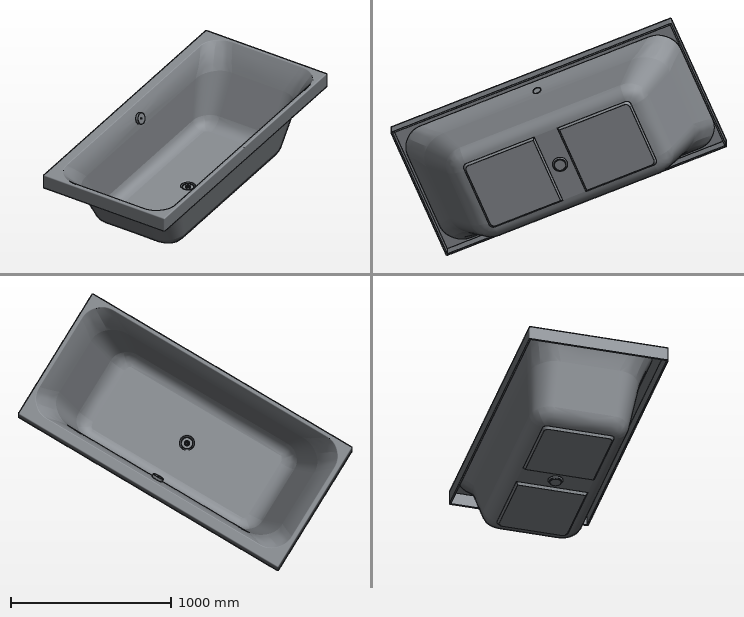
import cadquery as cq
import math


RIM_WIDTH = 900.0
RIM_LENGTH = 1900.0
RIM_HEIGHT = 95.0
RIM_EDGE_RADIUS = 8.0
LIP_RADIUS = 5.0
SHEET = 10.0

OVERALL_HEIGHT = 480.0
BOARD_THICKNESS = 17.0
BASIN_X = 20.0
UNDERSIDE_Z = BOARD_THICKNESS - OVERALL_HEIGHT
FLOOR_Z = UNDERSIDE_Z + SHEET
FLARE_Z = -146.0
KNEE_Z = -395.0
LOFT_STEPS = 4

STRAIGHT_X = 190.0
STRAIGHT_X_RIM = 255.0
STRAIGHT_Y = 543.0
STRAIGHT_Y_FLARE = 637.0
STRAIGHT_Y_RIM = 779.0

SUMP_TOP_RADIUS = 45.0
SUMP_BOTTOM_RADIUS = 38.0
SUMP_OUTER_TOP = 48.0
SUMP_OUTER_BOTTOM = 36.0
SUMP_LIP_RADIUS = 11.0
SUMP_FLOOR_Z = SHEET - OVERALL_HEIGHT

WASTE_DIAMETER = 72.0
WASTE_HEIGHT = 5.0
PLUG_DIAMETER = 32.0
PLUG_CAP_DIAMETER = 25.0
PLUG_CAP_HEIGHT = 2.0
PLUG_BORE_DIAMETER = 13.0
PLUG_BORE_DEPTH = 4.0

OVERFLOW_Z = -82.0
KNOB_DIAMETER = 72.0
KNOB_HEIGHT = 19.0
KNOB_BORE_DIAMETER = 9.1
KNOB_BORE_DEPTH = 5.0
SHANK_DIAMETER = 51.0
SHANK_LENGTH = 13.0

BOARD_HALF_WIDTH = 232.0
BOARD_HALF_LENGTH = 566.0
BOARD_GAP_HALF = 78.0
BOARD_TAPER = 11.0
BOARD_CORNER_RADIUS = 29.0


class Wall:
    """Profile of one pair of opposite walls: floor curve, straight slope and outward flare."""

    def __init__(self, floor_half, floor_radius, lean, rim_half):
        lean = math.radians(lean)
        self.cos = math.cos(lean)
        self.sin = math.sin(lean)
        self.floor_half = floor_half
        self.floor_radius = floor_radius
        self.curve_z = FLOOR_Z + floor_radius
        self.knee_half = floor_half + floor_radius * self.cos
        self.knee_z = self.curve_z - floor_radius * self.sin

        flare_half = self.knee_half + (FLARE_Z - self.knee_z) * math.tan(lean)
        rise = rim_half - flare_half
        turn = math.atan2(rise, -FLARE_Z) - lean
        self.flare_radius = math.hypot(rise, FLARE_Z) / (2 * math.sin(turn))
        self.flare_centre = flare_half + self.flare_radius * self.cos
        self.flare_centre_z = FLARE_Z - self.flare_radius * self.sin

    def half_size(self, z, offset):
        """Half distance between the walls at height z, moved outwards by offset."""
        if z > FLARE_Z - offset * self.sin:
            radius = self.flare_radius - offset
            return self.flare_centre - math.sqrt(radius**2 - (z - self.flare_centre_z) ** 2)
        if z > self.knee_z - offset * self.sin:
            slope = self.sin / self.cos
            return self.knee_half + (z - self.knee_z) * slope + offset / self.cos
        radius = self.floor_radius + offset
        return self.floor_half + math.sqrt(max(0.0, radius**2 - (z - self.curve_z) ** 2))

    def flare_slope(self, z):
        """Angle in degrees from the vertical of the flare at height z."""
        return math.degrees(math.asin((z - self.flare_centre_z) / self.flare_radius))


SIDE_WALL = Wall(floor_half=232.0, floor_radius=80.0, lean=8.5, rim_half=403.0)
END_WALL = Wall(floor_half=568.0, floor_radius=118.0, lean=30.0, rim_half=922.0)


def straight_halves(z):
    """Half lengths of the straight stretches of the basin outline at height z."""
    if z > FLARE_Z:
        part = 1 - z / FLARE_Z
        return (
            STRAIGHT_X + part * (STRAIGHT_X_RIM - STRAIGHT_X),
            STRAIGHT_Y_FLARE + part * (STRAIGHT_Y_RIM - STRAIGHT_Y_FLARE),
        )
    part = max(0.0, (z - KNEE_Z) / (FLARE_Z - KNEE_Z))
    return STRAIGHT_X, STRAIGHT_Y + part * (STRAIGHT_Y_FLARE - STRAIGHT_Y)


def basin_outline(z, offset):
    """Closed outline of the basin at height z: four straight sides and four elliptic corners."""
    half_x = SIDE_WALL.half_size(z, offset)
    half_y = END_WALL.half_size(z, offset)
    straight_x, straight_y = straight_halves(z)
    middle_x = straight_x + (half_x - straight_x) * math.sqrt(0.5)
    middle_y = straight_y + (half_y - straight_y) * math.sqrt(0.5)

    def point(x, y):
        return cq.Vector(BASIN_X + x, y, z)

    edges = []
    for sx, sy in ((1, 1), (-1, 1), (-1, -1), (1, -1)):
        on_side = point(sx * half_x, sy * straight_y)
        on_corner = point(sx * middle_x, sy * middle_y)
        on_end = point(sx * straight_x, sy * half_y)
        tangents = [cq.Vector(0, sy, 0), cq.Vector(-sx, 0, 0)]
        edges.append(cq.Edge.makeSpline([on_side, on_corner, on_end], tangents))
        if sx == sy:
            edges.append(cq.Edge.makeLine(on_end, point(-sx * straight_x, sy * half_y)))
        else:
            edges.append(cq.Edge.makeLine(on_side, point(sx * half_x, -sy * straight_y)))
    return cq.Wire.assembleEdges(edges)


def basin(offset):
    """Solid bounded by the basin surface moved outwards by offset, up to the top of the rim."""
    floor_z = FLOOR_Z - offset
    parts = [i / LOFT_STEPS for i in range(LOFT_STEPS + 1)]
    flare_levels = [FLARE_Z * (1 - part) for part in parts]
    bowl_levels = [floor_z + (KNEE_Z - floor_z) * (1 - math.cos(math.pi / 2 * part)) for part in parts]

    def loft(levels, ruled):
        return cq.Solid.makeLoft([basin_outline(z, offset) for z in levels], ruled)

    bowl = cq.Workplane(loft(bowl_levels, False))
    walls = cq.Workplane(loft([KNEE_Z, FLARE_Z], True))
    flare = cq.Workplane(loft(flare_levels, False))
    return bowl.union(walls, clean=False).union(flare, clean=False)


def rim():
    """Flat rim plate with a skirt around it, open below."""
    block = (
        cq.Workplane("XY")
        .box(RIM_WIDTH, RIM_LENGTH, RIM_HEIGHT, centered=(True, True, False))
        .translate((0, 0, -RIM_HEIGHT))
        .edges("|Z or >Z")
        .fillet(RIM_EDGE_RADIUS)
    )
    hollow = (
        cq.Workplane("XY", origin=(0, 0, -RIM_HEIGHT))
        .rect(RIM_WIDTH - 2 * SHEET, RIM_LENGTH - 2 * SHEET)
        .extrude(RIM_HEIGHT - SHEET)
    )
    return block.cut(hollow)


def cone(top_radius, bottom_radius, top_z, bottom_z):
    """Solid cone on the axis of the waste, with flat ends."""
    base = cq.Vector(BASIN_X, 0, bottom_z)
    return cq.Workplane(cq.Solid.makeCone(bottom_radius, top_radius, top_z - bottom_z, base))


def cylinder(diameter, bottom_z, height):
    """Solid cylinder on the axis of the waste."""
    return cq.Workplane("XY", origin=(BASIN_X, 0, bottom_z)).circle(diameter / 2).extrude(height)


def make_tub(overflow):
    """Rim, basin shell and sump in one piece, with a hole that fits the overflow."""
    shell = rim().union(basin(SHEET), clean=False)
    shell = shell.union(cone(SUMP_OUTER_TOP, SUMP_OUTER_BOTTOM, UNDERSIDE_Z, -OVERALL_HEIGHT), clean=False)
    tub = shell.cut(basin(0), clean=False)
    tub = tub.cut(cone(SUMP_TOP_RADIUS, SUMP_BOTTOM_RADIUS, FLOOR_Z, SUMP_FLOOR_Z), clean=False)
    sump_edge = (BASIN_X, SUMP_TOP_RADIUS, FLOOR_Z)
    tub = tub.edges(cq.selectors.NearestToPointSelector(sump_edge)).fillet(SUMP_LIP_RADIUS)
    lip = tub.faces(">Z").val().innerWires()[0]
    tub = cq.Workplane(tub.findSolid().fillet(LIP_RADIUS, lip.Edges()))
    return tub.cut(overflow, clean=False)


def make_waste():
    """Ring on the floor of the sump."""
    ring = cylinder(WASTE_DIAMETER, SUMP_FLOOR_Z, WASTE_HEIGHT)
    return ring.cut(cylinder(PLUG_DIAMETER, SUMP_FLOOR_Z, WASTE_HEIGHT))


def make_plug():
    """Stepped plug in the middle of the waste, with a blind hole in its top."""
    cap_z = SUMP_FLOOR_Z + WASTE_HEIGHT
    top_z = cap_z + PLUG_CAP_HEIGHT
    body = cylinder(PLUG_DIAMETER, SUMP_FLOOR_Z, WASTE_HEIGHT)
    cap = cylinder(PLUG_CAP_DIAMETER, cap_z, PLUG_CAP_HEIGHT)
    return body.union(cap).cut(cylinder(PLUG_BORE_DIAMETER, top_z - PLUG_BORE_DEPTH, PLUG_BORE_DEPTH))


def make_overflow():
    """Round knob square to the flare of the -X wall, with a shank that passes through the wall."""
    slope = math.radians(SIDE_WALL.flare_slope(OVERFLOW_Z))
    wall_x = BASIN_X - SIDE_WALL.half_size(OVERFLOW_Z, 0)
    inward = cq.Vector(math.cos(slope), 0, math.sin(slope))
    seat = cq.Workplane(cq.Plane(origin=(wall_x, 0, OVERFLOW_Z), xDir=(0, 1, 0), normal=inward))
    knob = seat.circle(KNOB_DIAMETER / 2).extrude(KNOB_HEIGHT)
    shank = seat.circle(SHANK_DIAMETER / 2).extrude(-SHANK_LENGTH)
    bore = seat.workplane(offset=KNOB_HEIGHT).circle(KNOB_BORE_DIAMETER / 2).extrude(-KNOB_BORE_DEPTH)
    return knob.union(shank).cut(bore)


def make_board(side):
    """Base board under the +Y or -Y half of the floor; all four sides lean inwards going down."""
    length = BOARD_HALF_LENGTH - BOARD_GAP_HALF
    centre_y = side * (BOARD_HALF_LENGTH + BOARD_GAP_HALF) / 2
    outer = ">Y" if side > 0 else "<Y"

    def outline(inset):
        sketch = cq.Sketch().rect(2 * (BOARD_HALF_WIDTH - inset), length - 2 * inset)
        return sketch.vertices(outer).fillet(BOARD_CORNER_RADIUS)

    top = cq.Workplane("XY", origin=(BASIN_X, centre_y, UNDERSIDE_Z))
    lower_outline = outline(BOARD_TAPER).moved(cq.Location((0, 0, -BOARD_THICKNESS)))
    return top.placeSketch(outline(0), lower_outline).loft()


overflow = make_overflow()
tub = make_tub(overflow)
waste = make_waste()
plug = make_plug()
boards = [make_board(side) for side in (1, -1)]

result = cq.Compound.makeCompound(
    [tub.val(), overflow.val(), waste.val(), plug.val(), *(board.val() for board in boards)]
)